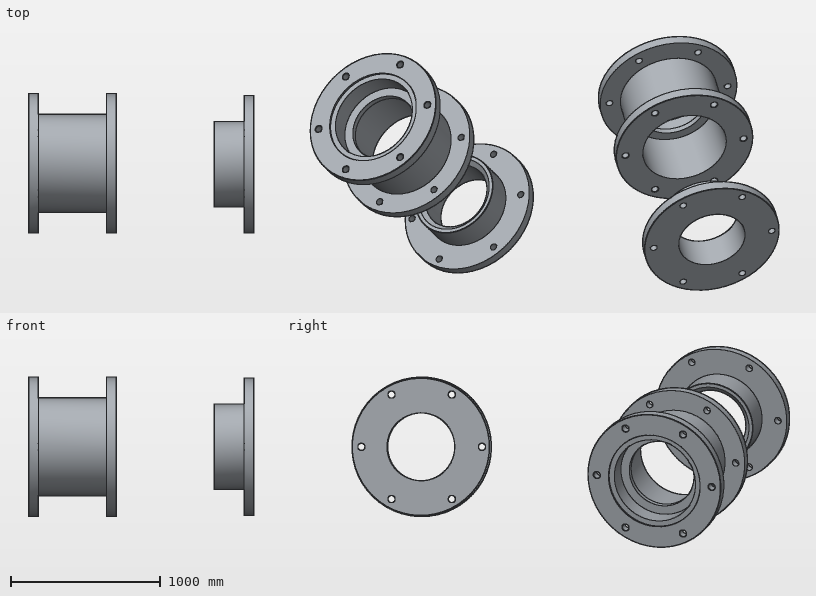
import cadquery as cq

total_length = 1508.0
flange_thickness = 68.0
bolt_count = 6
bolt_circle_radius = 403.0
bolt_hole_radius = 23.0
edge_chamfer = 3.0

housing_length = 590.0
housing_flange_radius = 466.7
barrel_radius = 329.0
recess_radius = 321.0
recess_depth = 15.0
packing_bore_radius = 285.0
packing_bore_depth = 160.0
throat_radius = 226.0
throat_length = 39.0
rear_bore_radius = 285.0

gland_length = 268.0
gland_offset_y = -6.0
gland_flange_radius = 460.0
sleeve_radius = 287.0
gland_bore_radius = 226.0
gland_mouth_radius = 260.0
gland_mouth_depth = 33.0
gland_start = total_length - gland_length


def disc(start, length, radius):
    """Cylinder along +X beginning at x = start."""
    return cq.Workplane("YZ", origin=(start, 0, 0)).circle(radius).extrude(length)


def chamfered_disc(start, length, radius, end):
    """Cylinder along +X with the rim of one end ("<X" or ">X") chamfered."""
    return disc(start, length, radius).faces(end).edges().chamfer(edge_chamfer)


def bolt_holes(start, length):
    """Ring of cylinders along +X, the first one on the +Y axis."""
    return (
        cq.Workplane("YZ", origin=(start, 0, 0))
        .polarArray(bolt_circle_radius, 0, 360, bolt_count)
        .circle(bolt_hole_radius)
        .extrude(length)
    )


def chamfer_bolt_holes(body, end):
    """Chamfer the bolt hole mouths on the end face ("<X" or ">X")."""
    mouths = cq.selectors.RadiusNthSelector(0)
    return body.faces(end).edges(mouths).chamfer(edge_chamfer)


def make_housing():
    """Flanged barrel with a stepped bore."""
    rear_flange_start = housing_length - flange_thickness
    body = disc(0, housing_length, barrel_radius)
    body = body.union(chamfered_disc(0, flange_thickness, housing_flange_radius, "<X"))
    body = body.union(chamfered_disc(rear_flange_start, flange_thickness, housing_flange_radius, ">X"))
    throat_end = packing_bore_depth + throat_length
    body = body.cut(disc(0, recess_depth, recess_radius))
    body = body.cut(disc(0, packing_bore_depth, packing_bore_radius))
    body = body.cut(disc(0, throat_end, throat_radius))
    body = body.cut(disc(throat_end, housing_length - throat_end, rear_bore_radius))
    body = body.cut(bolt_holes(0, housing_length))
    return chamfer_bolt_holes(chamfer_bolt_holes(body, "<X"), ">X")


def make_gland():
    """Flanged sleeve with a conical mouth at its free end."""
    body = chamfered_disc(gland_start, gland_length, sleeve_radius, "<X")
    flange_start = total_length - flange_thickness
    body = body.union(chamfered_disc(flange_start, flange_thickness, gland_flange_radius, ">X"))
    body = body.cut(disc(gland_start, gland_length, gland_bore_radius))
    mouth = cq.Workplane(
        cq.Solid.makeCone(
            gland_mouth_radius,
            gland_bore_radius,
            gland_mouth_depth,
            cq.Vector(gland_start, 0, 0),
            cq.Vector(1, 0, 0),
        )
    )
    body = body.cut(mouth).translate((0, gland_offset_y, 0))
    return body.cut(bolt_holes(flange_start, flange_thickness))


housing = make_housing()
gland = make_gland()

result = cq.Compound.makeCompound([housing.val(), gland.val()])